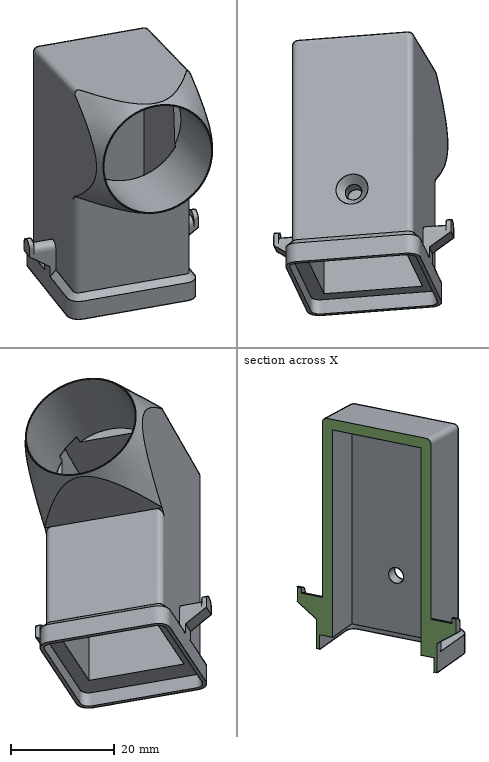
import cadquery as cq
import math


rim_width = 26.5
rim_corner_radius = 2.45
rim_edge_height = 3.95
body_width = 24.0
edge_radius = 1.15
rim_step = (rim_width - body_width) / 2
rim_height = rim_edge_height + rim_step

total_height = 50.85
tilt_angle = 5
tilt = math.radians(tilt_angle)
mouth_x = 25.7
mouth_radius = 11.35
outlet_half_height = 11.55
outlet_length = 17.8
cone_half_angle = 20
mouth_lip = 0.2
roof_tip_setback = (outlet_half_height - mouth_radius) / math.tan(math.radians(cone_half_angle))
mouth_z = total_height - outlet_half_height * math.cos(tilt) + roof_tip_setback * math.sin(tilt)

wall = 2.3
screw_wall = 4.05
skirt_wall = 0.75
recess_height = 3.0
cavity_start_x = screw_wall - body_width / 2
cavity_end_x = body_width / 2 - wall
cavity_depth = body_width - 2 * wall
cavity_roof_offset = outlet_half_height - wall

hook_span = 35.0
hook_width = 3.05
hook_tip_thickness = 0.95
hook_tip_top = 12.15
hook_tip_bottom = 9.05
hook_root_bottom = 6.1
hook_neck_top = 11.05
hook_overlap = 1

screw_z = 15.0
screw_radius = 1.65
countersink_radius = 3.15

mouth_plane = cq.Plane(
    origin=(mouth_x, 0, mouth_z),
    xDir=(0, 1, 0),
    normal=(-math.cos(tilt), 0, -math.sin(tilt)),
)


def tilted_z(x, offset):
    """Height at x of a plane parallel to the outlet axis, offset above it."""
    return mouth_z - (mouth_x - x) * math.tan(tilt) + offset / math.cos(tilt)


def sloped_block(start_x, end_x, depth, roof_offset):
    """Block standing on z = 0 whose roof runs parallel to the outlet axis, roof_offset above it."""
    return (
        cq.Workplane("XZ")
        .moveTo(start_x, 0)
        .lineTo(end_x, 0)
        .lineTo(end_x, tilted_z(end_x, roof_offset))
        .lineTo(start_x, tilted_z(start_x, roof_offset))
        .close()
        .extrude(depth / 2, both=True)
    )


def make_rim():
    return (
        cq.Workplane("XY")
        .rect(rim_width, rim_width)
        .extrude(rim_height)
        .edges("|Z").fillet(rim_corner_radius)
        .faces(">Z").chamfer(rim_step)
    )


def make_body():
    body = sloped_block(-body_width / 2, body_width / 2, body_width, outlet_half_height)
    return body.edges("|Z").fillet(edge_radius).faces(">Z").edges().fillet(edge_radius)


def make_outlet():
    """Tilted box with rounded roof edges, trimmed by a cone that narrows to the mouth."""
    box = (
        cq.Workplane("XY")
        .box(outlet_length, body_width, 2 * outlet_half_height, centered=(False, True, True))
        .translate((-outlet_length, 0, 0))
        .edges("|X and >Z").fillet(edge_radius)
        .rotate((0, 0, 0), (0, 1, 0), -tilt_angle)
        .translate((mouth_x, 0, mouth_z))
    )
    cone = (
        cq.Workplane(mouth_plane)
        .circle(mouth_radius)
        .extrude(outlet_length, taper=-cone_half_angle)
    )
    return box.intersect(cone)


def make_corner_fill():
    """Wedge that squares off the rounded +X body corners just under the outlet."""
    face_x = body_width / 2
    underside_z = tilted_z(face_x, -outlet_half_height)
    return (
        cq.Workplane("XZ")
        .moveTo(face_x, underside_z)
        .lineTo(face_x - edge_radius, underside_z)
        .lineTo(face_x - edge_radius, underside_z - edge_radius)
        .close()
        .extrude(body_width / 2, both=True)
    )


def make_hook():
    """Hook on the -Y side: sloped arm, round-topped neck and round-topped upright tip."""
    tip_y = -hook_span / 2
    tip_inner_y = tip_y + hook_tip_thickness
    rim_y = -rim_width / 2
    root_y = -body_width / 2 + hook_overlap
    half = hook_width / 2

    def round_top(start_y, end_y, bottom, top):
        spring = top - half
        return (
            cq.Workplane("XZ", origin=(0, end_y, 0))
            .moveTo(-half, bottom)
            .lineTo(half, bottom)
            .lineTo(half, spring)
            .threePointArc((0, top), (-half, spring))
            .close()
            .extrude(end_y - start_y)
        )

    arm = (
        cq.Workplane("YZ")
        .moveTo(root_y, rim_edge_height)
        .lineTo(rim_y, rim_edge_height)
        .lineTo(rim_y, hook_root_bottom)
        .lineTo(tip_y, hook_tip_bottom)
        .lineTo(tip_y, hook_neck_top - half)
        .lineTo(root_y, hook_neck_top - half)
        .close()
        .extrude(half, both=True)
    )
    neck = round_top(tip_inner_y, root_y, hook_tip_bottom, hook_neck_top)
    tip = round_top(tip_y, tip_inner_y, hook_tip_bottom, hook_tip_top)
    return arm.union(neck).union(tip)


def make_inside():
    """Open-bottomed cavity, wider recess in the rim, and the bore from the mouth."""
    recess_width = rim_width - 2 * skirt_wall
    recess = (
        cq.Workplane("XY")
        .rect(recess_width, recess_width)
        .extrude(recess_height)
        .edges("|Z").fillet(rim_corner_radius - skirt_wall)
    )
    cavity = sloped_block(cavity_start_x, cavity_end_x, cavity_depth, cavity_roof_offset)
    bore_radius = mouth_radius - mouth_lip
    bore_reach = mouth_x + bore_radius * math.sin(tilt) - cavity_end_x
    bore = cq.Workplane(mouth_plane).circle(bore_radius).extrude(bore_reach / math.cos(tilt))
    return recess.union(cavity).union(bore)


def make_screw_hole():
    """45 degree countersink on the -X face, then a plain hole into the cavity."""
    face_x = -body_width / 2
    sink_depth = countersink_radius - screw_radius
    return (
        cq.Workplane("XZ")
        .moveTo(face_x, screw_z)
        .lineTo(face_x, screw_z + countersink_radius)
        .lineTo(face_x + sink_depth, screw_z + screw_radius)
        .lineTo(cavity_start_x, screw_z + screw_radius)
        .lineTo(cavity_start_x, screw_z)
        .close()
        .revolve(360, (0, screw_z, 0), (1, screw_z, 0))
    )


hook = make_hook()
result = (
    make_rim()
    .union(make_body())
    .union(make_outlet())
    .union(make_corner_fill())
    .union(hook)
    .union(hook.mirror("XZ"))
    .cut(make_inside())
    .cut(make_screw_hole())
)